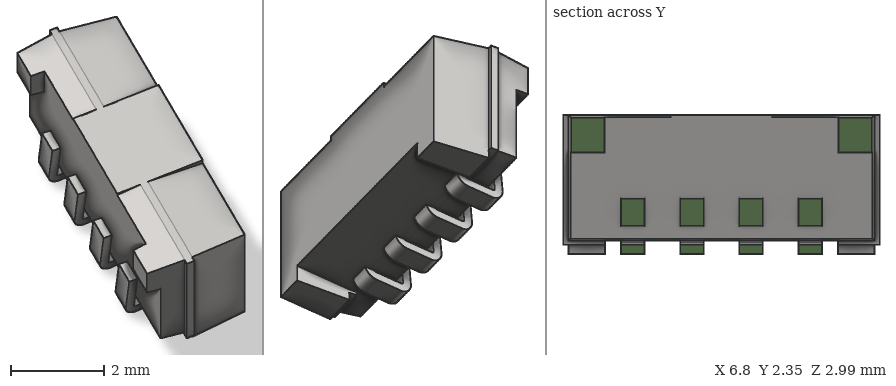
import cadquery as cq
import math

top_z = 2.99
draft = math.tan(math.radians(5))

rim_width = 6.8
rim_thickness = 0.18
rim_bottom_z = 0.2

body_half_width = 3.29
body_bottom_z = 0.285
rear_depth = 1.31
front_depth = 0.55

center_flat_width = 2.19

foot_inner_x = 2.5

pad_depth = 0.31
pad_inner_x = 2.51
pad_bottom_z = top_z - 0.81

lead_count = 4
lead_pitch = 1.27
lead_width = 0.51
lead_thickness = 0.2
lead_lean = math.radians(5)
lead_back_y = 0.123
lead_root_z = 0.6
lead_tip_z = 1.21
heel_radius = 0.33
toe_radius = 0.25

rim_front_y = -rim_thickness
face_y = rim_front_y - front_depth
pad_front_y = face_y - pad_depth


def tapered_block(y_start, y_end, start, end):
    """Loft between two rectangles (x0, x1, z0, z1) standing at two Y positions."""
    def outline(y, rectangle):
        x0, x1, z0, z1 = rectangle
        corners = [(x0, y, z0), (x1, y, z0), (x1, y, z1), (x0, y, z1)]
        return cq.Wire.makePolygon([cq.Vector(*corner) for corner in corners], close=True)

    return cq.Workplane(cq.Solid.makeLoft([outline(y_start, start), outline(y_end, end)], True))


def half_body(y_start, depth):
    """Half of the body, tapered on all four sides, ending `depth` from the rim."""
    taper = abs(depth) * draft
    start = (-body_half_width, body_half_width, body_bottom_z, top_z)
    end_half_width = body_half_width - taper
    end = (-end_half_width, end_half_width, body_bottom_z + taper, top_z - taper)
    return tapered_block(y_start, y_start + depth, start, end)


def wide_box(width, y_front, y_rear, z_bottom, z_top):
    """Box centred on X = 0."""
    box = cq.Workplane().box(width, y_rear - y_front, z_top - z_bottom, centered=(True, False, False))
    return box.translate((0, y_front, z_bottom))


def make_rim():
    """Rim plate, notched between the feet up to the bottom of the body."""
    plate = wide_box(rim_width, rim_front_y, 0, rim_bottom_z, top_z)
    notch = wide_box(2 * foot_inner_x, rim_front_y, 0, rim_bottom_z, body_bottom_z)
    return plate.cut(notch)


def make_center_flat():
    """Level strip filling the sloped top from the rear face to the front face."""
    height = top_z / 2
    return wide_box(center_flat_width, face_y, rear_depth, top_z - height, top_z)


def make_rear_foot():
    """Right-hand foot, level below, its outer side flush with the tapered body side."""
    taper = rear_depth * draft
    foot_top_z = top_z / 2
    start = (foot_inner_x, body_half_width, 0, foot_top_z)
    end = (foot_inner_x, body_half_width - taper, 0, foot_top_z)
    return tapered_block(0, rear_depth, start, end)


def make_front_pad():
    """Right-hand corner pad, continuing the taper of the body in front of its face."""
    inset = front_depth * draft
    taper = pad_depth * draft
    x1 = body_half_width - inset
    z1 = top_z - inset
    start = (pad_inner_x, x1, pad_bottom_z, z1)
    end = (pad_inner_x + taper, x1 - taper, pad_bottom_z + taper, z1 - taper)
    return tapered_block(face_y, pad_front_y, start, end)


def make_lead():
    """Lead at X = 0: down out of the housing, forward, then up along the front face."""
    up = cq.Vector(0, 0, 1)
    forward = cq.Vector(0, -math.cos(lead_lean), -math.sin(lead_lean))
    backward = forward * -1
    rise = cq.Vector(0, math.sin(lead_lean), math.cos(lead_lean))

    def inside(corner, first, second, distance):
        """Point at the same distance from both lines that leave a corner."""
        return corner + (first + second) * (distance / math.sin(first.getAngle(second)))

    toe_center = cq.Vector(0, pad_front_y + toe_radius, toe_radius)
    toe = inside(toe_center, backward, rise, -toe_radius)
    heel = cq.Vector(0, lead_back_y, toe.z + (lead_back_y - toe.y) * math.tan(lead_lean))
    tip = toe + rise * ((lead_tip_z - toe.z) / rise.z)
    root = cq.Vector(0, lead_back_y, lead_root_z)

    inner_toe = inside(toe, backward, rise, lead_thickness)
    inner_heel = inside(heel, forward, up, lead_thickness)
    inner_tip = tip + cq.Vector(0, rise.z, -rise.y) * lead_thickness
    inner_root = root - cq.Vector(0, lead_thickness, 0)

    outline = [root, heel, toe, tip, inner_tip, inner_toe, inner_heel, inner_root]
    lead = cq.Workplane("YZ").polyline([(p.y, p.z) for p in outline]).close()
    lead = lead.extrude(lead_width / 2, both=True)

    bends = [
        (heel, heel_radius),
        (inner_heel, heel_radius - lead_thickness),
        (toe, toe_radius),
        (inner_toe, toe_radius - lead_thickness),
    ]
    for corner, radius in bends:
        lead = lead.edges("|X").edges(cq.NearestToPointSelector(corner.toTuple())).fillet(radius)
    return lead


body = half_body(0, rear_depth).union(make_rim()).union(half_body(rim_front_y, -front_depth))
body = body.union(make_center_flat())

for corner_block in (make_rear_foot(), make_front_pad()):
    body = body.union(corner_block).union(corner_block.mirror("YZ"))

for index in range(lead_count):
    lead_x = (index - (lead_count - 1) / 2) * lead_pitch
    body = body.union(make_lead().translate((lead_x, 0, 0)))

result = body